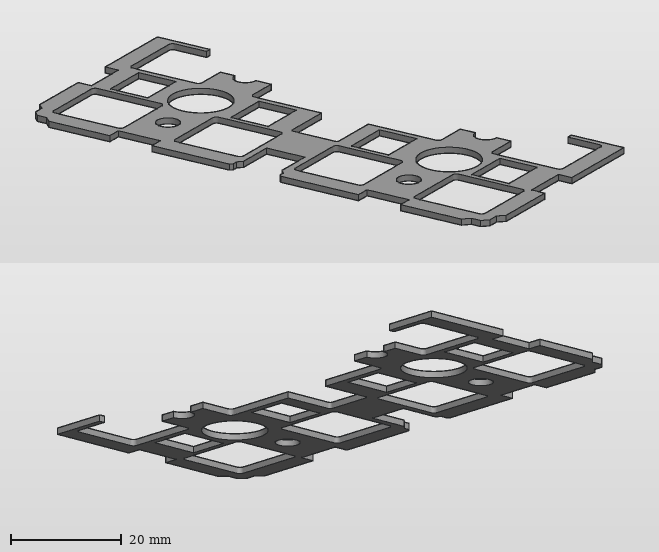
import cadquery as cq

LENGTH = 100.0
DEPTH = 45.25
THICKNESS = 1.2
EDGE_X = LENGTH / 2

COLUMN_PITCH = 25.8
INNER_COLUMN_X = COLUMN_PITCH / 2
OUTER_COLUMN_X = INNER_COLUMN_X + COLUMN_PITCH
INNER_WINDOW_WIDTH = 14.7
OUTER_WINDOW_WIDTH = 15.1
WINDOW_BOTTOM = 4.0
WINDOW_TOP = 18.2
CORNER_RADIUS = 0.8

SMALL_WINDOW_WIDTH = 8.0
SMALL_WINDOW_DEPTH = 9.4
SMALL_WINDOW_Y = 24.0
SMALL_WINDOW_SHIFT = -0.7

PIN_DIAMETER = 4.5
PIN_X = COLUMN_PITCH
PIN_Y = 11.1
LARGE_HOLE_DIAMETER = 12.0
LARGE_HOLE_X = 26.6
LARGE_HOLE_Y = 23.3

ARM_END_X = 38.7
ARM_WIDTH = 1.2
RAIL_TOP = 30.0
TAB_TOP = PIN_Y + COLUMN_PITCH
TAB_OUTER_X = OUTER_COLUMN_X - OUTER_WINDOW_WIDTH / 2
TAB_INNER_X = INNER_COLUMN_X + INNER_WINDOW_WIDTH / 2
ARM_INNER_X = OUTER_COLUMN_X + OUTER_WINDOW_WIDTH / 2

BRIDGE_TOP = 19.7
BRIDGE_BOTTOM = 10.2
UPPER_GAP_HALF = 5.0
LOWER_GAP_HALF = 4.1
BRIDGE_FILLET = 0.5

NOTCH_LENGTH = 9.0
NOTCH_DEPTH = 2.85
SIDE_NOTCH_BOTTOM = 18.8

OUTER_STEP = 1.3
OUTER_BEVEL = 1.2
OUTER_BEVEL_TOP = 5.9
CORNER_BEVEL_TOP = 2.5
FOOT_BEVEL_X = 44.2
INNER_BEVEL = UPPER_GAP_HALF - LOWER_GAP_HALF
INNER_BEVEL_TOP = 2.5
INNER_FOOT_BEVEL = 0.5


def both_sides(x, y):
    """Return a point and its mirror image about the Y axis."""
    return [(-x, y), (x, y)]


def half_plate():
    """Right half of the plate, from the centre line to the side edge."""
    step_x = EDGE_X - OUTER_STEP
    outline = [
        (0, BRIDGE_BOTTOM),
        (LOWER_GAP_HALF, BRIDGE_BOTTOM),
        (LOWER_GAP_HALF, INNER_BEVEL_TOP),
        (UPPER_GAP_HALF, INNER_BEVEL_TOP - INNER_BEVEL),
        (UPPER_GAP_HALF, INNER_FOOT_BEVEL),
        (UPPER_GAP_HALF + INNER_FOOT_BEVEL, 0),
        (TAB_OUTER_X - NOTCH_LENGTH, 0),
        (TAB_OUTER_X - NOTCH_LENGTH, NOTCH_DEPTH),
        (TAB_OUTER_X, NOTCH_DEPTH),
        (TAB_OUTER_X, 0),
        (FOOT_BEVEL_X, 0),
        (FOOT_BEVEL_X + OUTER_STEP, OUTER_STEP),
        (step_x - OUTER_BEVEL, OUTER_STEP),
        (step_x, CORNER_BEVEL_TOP),
        (step_x, OUTER_BEVEL_TOP - OUTER_BEVEL),
        (EDGE_X, OUTER_BEVEL_TOP),
        (EDGE_X, SIDE_NOTCH_BOTTOM),
        (EDGE_X - NOTCH_DEPTH, SIDE_NOTCH_BOTTOM),
        (EDGE_X - NOTCH_DEPTH, SIDE_NOTCH_BOTTOM + NOTCH_LENGTH),
        (EDGE_X, SIDE_NOTCH_BOTTOM + NOTCH_LENGTH),
        (EDGE_X, DEPTH),
        (ARM_END_X, DEPTH),
        (ARM_END_X, DEPTH - ARM_WIDTH),
        (ARM_INNER_X, DEPTH - ARM_WIDTH),
        (ARM_INNER_X, RAIL_TOP),
        (TAB_OUTER_X, RAIL_TOP),
        (TAB_OUTER_X, TAB_TOP),
        (TAB_INNER_X, TAB_TOP),
        (TAB_INNER_X, RAIL_TOP),
        (UPPER_GAP_HALF, RAIL_TOP),
        (UPPER_GAP_HALF, BRIDGE_TOP),
        (0, BRIDGE_TOP),
    ]
    plate = cq.Workplane("XY").polyline(outline).close().extrude(THICKNESS)
    inner_corners = [
        (ARM_INNER_X, DEPTH - ARM_WIDTH),
        (ARM_INNER_X, RAIL_TOP),
        (TAB_OUTER_X, RAIL_TOP),
        (TAB_INNER_X, RAIL_TOP),
    ]
    for corner in inner_corners:
        plate = fillet_corner(plate, corner, CORNER_RADIUS)
    return fillet_corner(plate, (UPPER_GAP_HALF, BRIDGE_TOP), BRIDGE_FILLET)


def fillet_corner(plate, corner, radius):
    """Round the vertical edge standing at the given XY corner."""
    x, y = corner
    nearest_edge = cq.selectors.NearestToPointSelector((x, y, THICKNESS / 2))
    return plate.edges("|Z").edges(nearest_edge).fillet(radius)


def large_windows(column_x, width):
    """Cutters for a mirrored pair of large windows with rounded corners."""
    depth = WINDOW_TOP - WINDOW_BOTTOM
    centres = both_sides(column_x, (WINDOW_TOP + WINDOW_BOTTOM) / 2)
    blocks = cq.Workplane("XY").pushPoints(centres).rect(width, depth).extrude(THICKNESS)
    return blocks.edges("|Z").fillet(CORNER_RADIUS)


def small_windows():
    """Cutters for the four sharp-cornered windows above the large ones."""
    columns = [-OUTER_COLUMN_X, -INNER_COLUMN_X, INNER_COLUMN_X, OUTER_COLUMN_X]
    centres = [(x + SMALL_WINDOW_SHIFT, SMALL_WINDOW_Y) for x in columns]
    sketch = cq.Workplane("XY").pushPoints(centres)
    return sketch.rect(SMALL_WINDOW_WIDTH, SMALL_WINDOW_DEPTH).extrude(THICKNESS)


def round_cutters(centres, diameter):
    """Cylinders through the plate at the given centres."""
    return cq.Workplane("XY").pushPoints(centres).circle(diameter / 2).extrude(THICKNESS)


right_half = half_plate()
result = right_half.union(right_half.mirror("YZ"))
result = result.cut(large_windows(INNER_COLUMN_X, INNER_WINDOW_WIDTH))
result = result.cut(large_windows(OUTER_COLUMN_X, OUTER_WINDOW_WIDTH))
result = result.cut(small_windows())
result = result.cut(round_cutters(both_sides(LARGE_HOLE_X, LARGE_HOLE_Y), LARGE_HOLE_DIAMETER))

for pin_y in (PIN_Y, TAB_TOP):
    result = result.cut(round_cutters(both_sides(PIN_X, pin_y), PIN_DIAMETER))